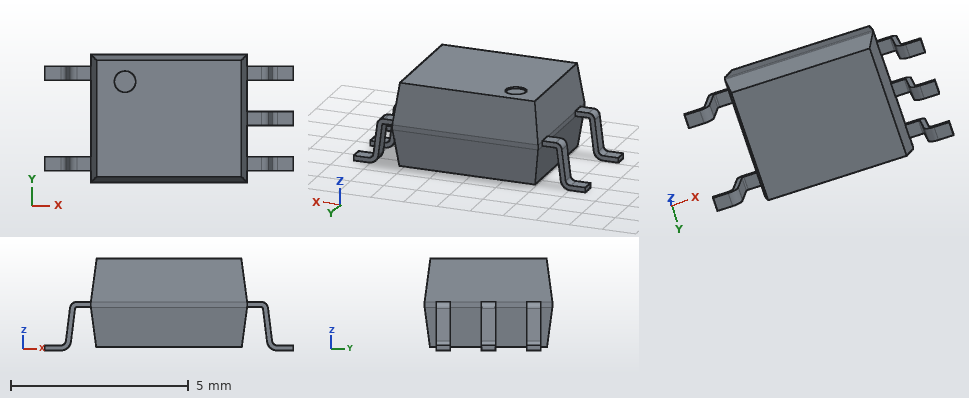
import cadquery as cq
import math

package_length = 4.4
package_width = 3.6
package_bottom = 0.1
package_top = 2.6
draft_angle = 7.6

lead_span = 7.0
lead_thickness = 0.15
lead_width = 0.4
lead_pitch = 1.27
lead_angle = 7.0
foot_flat = 0.45
foot_bend_inner = 0.15
shoulder_bend_inner = 0.05

band_bottom = 1.225
band_top = band_bottom + lead_thickness

mark_diameter = 0.6
mark_depth = 0.05
mark_from_end = 0.8
mark_from_side = 0.6


def make_package():
    """Band, two tapered halves and the round pin 1 recess as one solid."""
    def band_outline(height):
        return cq.Workplane("XY", origin=(0, 0, height)).rect(package_length, package_width)

    upper_height = package_top - band_top
    lower_height = band_bottom - package_bottom
    band = band_outline(band_bottom).extrude(lead_thickness)
    upper = band_outline(band_top).extrude(upper_height, taper=draft_angle)
    lower = band_outline(band_bottom).extrude(-lower_height, taper=draft_angle)
    body = band.union(upper).union(lower)

    top_inset = upper_height * math.tan(math.radians(draft_angle))
    mark_x = -package_length / 2 + top_inset + mark_from_end
    mark_y = package_width / 2 - top_inset - mark_from_side
    mark = (
        cq.Workplane("XY", origin=(mark_x, mark_y, package_top))
        .circle(mark_diameter / 2)
        .extrude(-mark_depth)
    )
    return body.cut(mark)


def make_lead():
    """Lead on the -X side, centred on Y = 0, ending flush on the package band."""
    tip_x = -lead_span / 2
    root_x = -package_length / 2
    foot_bend_outer = foot_bend_inner + lead_thickness
    shoulder_bend_outer = shoulder_bend_inner + lead_thickness

    lean = math.radians(lead_angle)
    normal_x = math.cos(lean)
    normal_z = -math.sin(lean)

    foot_x = tip_x + foot_flat
    foot_z = foot_bend_outer
    shoulder_z = band_top - shoulder_bend_outer
    centre_gap = foot_bend_inner + shoulder_bend_outer
    leg_length = (shoulder_z - foot_z - centre_gap * normal_z) / math.cos(lean)
    shoulder_x = foot_x + centre_gap * normal_x + leg_length * math.sin(lean)

    def foot_tangent(radius):
        return (foot_x + radius * normal_x, foot_z + radius * normal_z)

    def shoulder_tangent(radius):
        return (shoulder_x - radius * normal_x, shoulder_z - radius * normal_z)

    profile = (
        cq.Workplane("XZ")
        .moveTo(tip_x, 0)
        .lineTo(foot_x, 0)
        .radiusArc(foot_tangent(foot_bend_outer), -foot_bend_outer)
        .lineTo(*shoulder_tangent(shoulder_bend_inner))
        .radiusArc((shoulder_x, band_bottom), shoulder_bend_inner)
        .lineTo(root_x, band_bottom)
        .lineTo(root_x, band_top)
        .lineTo(shoulder_x, band_top)
        .radiusArc(shoulder_tangent(shoulder_bend_outer), -shoulder_bend_outer)
        .lineTo(*foot_tangent(foot_bend_inner))
        .radiusArc((foot_x, lead_thickness), foot_bend_inner)
        .lineTo(tip_x, lead_thickness)
        .close()
    )
    return profile.extrude(lead_width / 2, both=True)


package = make_package()

left_lead = make_lead()
right_lead = left_lead.mirror("YZ")
leads = []
for row in (-1, 1):
    leads.append(left_lead.translate((0, row * lead_pitch, 0)))
for row in (-1, 0, 1):
    leads.append(right_lead.translate((0, row * lead_pitch, 0)))

result = cq.Compound.makeCompound([package.val(), *[lead.val() for lead in leads]])